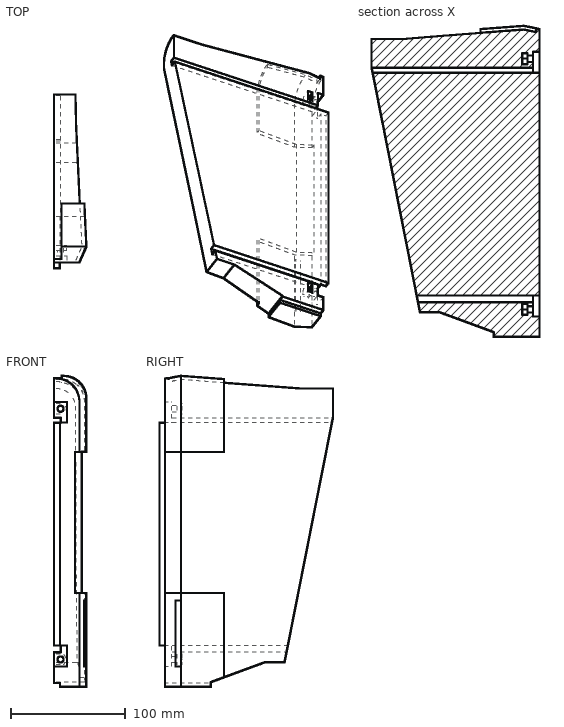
import cadquery as cq
import math

BACK_Y = 151.67
COVER_X = 28.33
COVER_TOP_Z = 271.17

FRONT_Y = 5.0
CREST_Y = 18.9
BEVEL_X = 6.2
BEVEL_Z = 2.4
CORNER_RADIUS = 20.0

REAR_FLAT_Y = 124.0
REAR_FLAT_X = 19.4
REAR_END_X = 18.8
REAR_TOP_Z = 260.1

COVER_STEP_X = 4.0
COVER_STEP_Z = 3.2
CORE_RADIUS = 17.0

COVER_BACK_Y = 56.6
COVER_UPPER_Z = 204.8
COVER_LOWER_Z = 82.0
TOP_LEDGE_X = 6.7
TOP_LEDGE_FRONT_Y = 8.0
BOTTOM_LEDGE_X = 5.1

BACK_CORNER_Z = 235.7
LOWER_BACK_Y = 109.3
LOWER_BACK_Z = 21.4
SLOPE_REAR_Y = 92.3
SLOPE_FRONT_Y = 45.0
SLOPE_FRONT_Z = 4.0

PANEL_THICKNESS = 5.1
PANEL_BOTTOM_Z = 36.0
PANEL_TOP_Z = 230.3
GROOVE_DEPTH = 5.7
UPPER_GROOVE_HEIGHT = 4.2
LOWER_GROOVE_HEIGHT = 5.8

POCKET_DEPTH_X = 11.4
POCKET_BACK_Y = 10.5
POCKET_HEIGHT = 18.1
SCREW_X = 5.7
SCREW_DIAMETER = 5.3
SCREW_OFFSET_Z = 12.1
NUT_ACROSS_FLATS = 9.3
NUT_FRONT_Y = 15.6
NUT_BACK_Y = 20.0

RECESS_FLOOR_X = 26.2
RECESS_BOTTOM_Z = 17.9
RECESS_TOP_Z = 75.2


def block(x_range, y_range, z_range):
    """Axis-aligned box given by its limits."""
    size = [end - start for start, end in (x_range, y_range, z_range)]
    corner = (x_range[0], y_range[0], z_range[0])
    return cq.Workplane("XY").box(*size, centered=False).translate(corner)


def section(y, width, bottom, top, radius):
    """Wire across the part at one Y, with the upper far corner rounded."""
    diagonal = radius * math.sqrt(0.5)
    arc_x = width - radius
    arc_z = top - radius
    outline = (
        cq.Workplane("XZ", origin=(0, y, 0))
        .moveTo(0, bottom)
        .lineTo(width, bottom)
        .lineTo(width, arc_z)
        .threePointArc((arc_x + diagonal, arc_z + diagonal), (arc_x, top))
        .lineTo(0, top)
        .close()
    )
    return outline.val()


def tapered_body(inset_x, inset_z, bottom, radius):
    """Body through four sections; the insets thin it relative to the cover."""
    crest_x = COVER_X - inset_x
    crest_z = COVER_TOP_Z - inset_z
    rear_growth = COVER_STEP_X - inset_x
    rear_z = REAR_TOP_Z + COVER_STEP_Z - inset_z
    stations = [
        (FRONT_Y, crest_x - BEVEL_X, crest_z - BEVEL_Z),
        (CREST_Y, crest_x, crest_z),
        (REAR_FLAT_Y, REAR_FLAT_X + rear_growth, rear_z),
        (BACK_Y, REAR_END_X + rear_growth, rear_z),
    ]
    wires = [section(y, width, bottom, top, radius) for y, width, top in stations]
    return cq.Workplane(obj=cq.Solid.makeLoft(wires, True))


def side_outline():
    """Prism of the outline seen along X, cutting the sloping back and lower edges."""
    points = [
        (FRONT_Y, 0),
        (SLOPE_FRONT_Y, 0),
        (SLOPE_FRONT_Y, SLOPE_FRONT_Z),
        (SLOPE_REAR_Y, LOWER_BACK_Z),
        (LOWER_BACK_Y, LOWER_BACK_Z),
        (BACK_Y, BACK_CORNER_Z),
        (BACK_Y, COVER_TOP_Z),
        (FRONT_Y, COVER_TOP_Z),
    ]
    return cq.Workplane("YZ").polyline(points).close().extrude(COVER_X)


def cover_areas():
    """Outer layer over the front of the core, in an upper and a lower area."""
    outer = tapered_body(0, 0, 0, CORNER_RADIUS)
    depth = (FRONT_Y, COVER_BACK_Y)
    upper = outer.intersect(block((0, COVER_X), depth, (COVER_UPPER_Z, COVER_TOP_Z)))
    top_ledge = block((0, TOP_LEDGE_X), (TOP_LEDGE_FRONT_Y, COVER_BACK_Y), (COVER_UPPER_Z, COVER_TOP_Z))
    lower = outer.intersect(block((0, COVER_X), depth, (0, COVER_LOWER_Z)))
    bottom_ledge = block((0, BOTTOM_LEDGE_X), depth, (0, COVER_STEP_Z))
    return upper.cut(top_ledge), lower.cut(bottom_ledge).cut(recess())


def recess():
    """Long recess in the bevel of the lower cover, ending at the crest."""
    return block(
        (RECESS_FLOOR_X, COVER_X), (FRONT_Y, CREST_Y), (RECESS_BOTTOM_Z, RECESS_TOP_Z)
    )


def panel_nose():
    """Front edge of the panel, standing out ahead of the front face."""
    return block((0, PANEL_THICKNESS), (0, FRONT_Y), (PANEL_BOTTOM_Z, PANEL_TOP_Z))


def groove(bottom, height):
    """Groove in the flat side along the whole depth."""
    return block((0, GROOVE_DEPTH), (0, BACK_Y), (bottom, bottom + height))


def fastening(pocket_bottom, screw_z):
    """Corner pocket, screw hole and nut slot, joined into one cutter."""
    pocket = block(
        (0, POCKET_DEPTH_X), (FRONT_Y, POCKET_BACK_Y), (pocket_bottom, pocket_bottom + POCKET_HEIGHT)
    )
    hole = (
        cq.Workplane("XZ", origin=(SCREW_X, FRONT_Y, screw_z))
        .circle(SCREW_DIAMETER / 2)
        .extrude(FRONT_Y - NUT_BACK_Y)
    )
    half_flats = NUT_ACROSS_FLATS / 2
    nut_corner = NUT_ACROSS_FLATS / math.sqrt(3)
    shoulder_x = SCREW_X + nut_corner / 2
    nut_slot = (
        cq.Workplane("XZ", origin=(0, NUT_FRONT_Y, screw_z))
        .moveTo(0, -half_flats)
        .lineTo(shoulder_x, -half_flats)
        .lineTo(SCREW_X + nut_corner, 0)
        .lineTo(shoulder_x, half_flats)
        .lineTo(0, half_flats)
        .close()
        .extrude(NUT_FRONT_Y - NUT_BACK_Y)
    )
    return pocket.union(hole).union(nut_slot)


upper_cover, lower_cover = cover_areas()
core = tapered_body(COVER_STEP_X, COVER_STEP_Z, COVER_STEP_Z, CORE_RADIUS)
body = core.union(upper_cover).union(lower_cover).intersect(side_outline())
body = body.union(panel_nose())

lower_pocket_z = PANEL_BOTTOM_Z - POCKET_HEIGHT
cutters = [
    groove(PANEL_TOP_Z, UPPER_GROOVE_HEIGHT),
    groove(PANEL_BOTTOM_Z - LOWER_GROOVE_HEIGHT, LOWER_GROOVE_HEIGHT),
    fastening(PANEL_TOP_Z, PANEL_TOP_Z + SCREW_OFFSET_Z),
    fastening(lower_pocket_z, PANEL_BOTTOM_Z - SCREW_OFFSET_Z),
]
for cutter in cutters:
    body = body.cut(cutter)

result = body